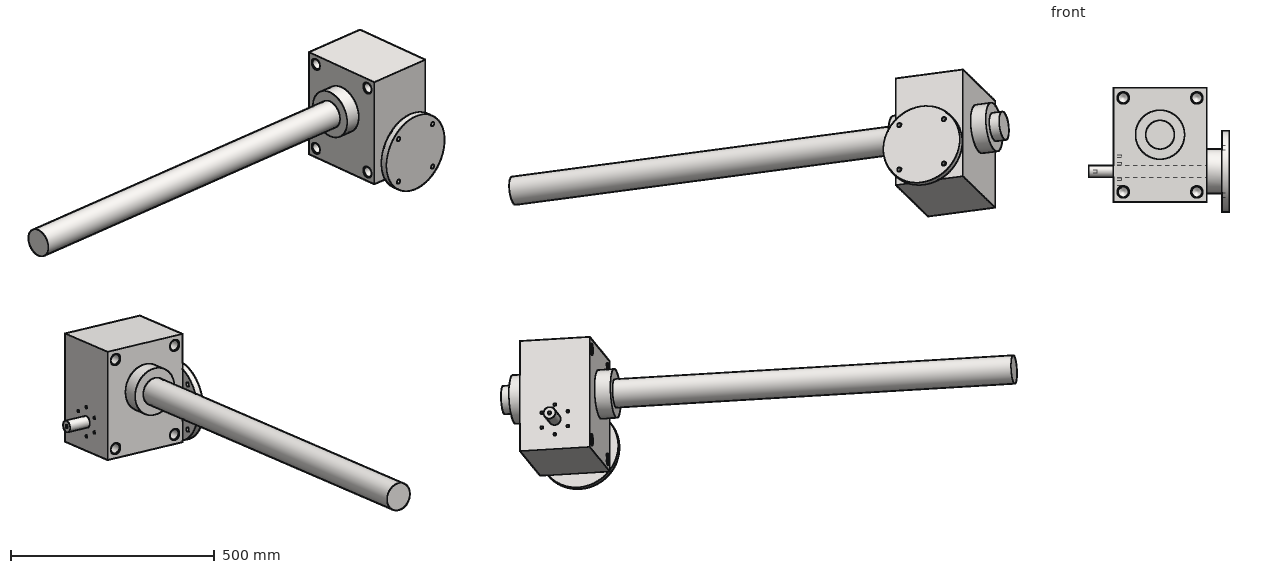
import cadquery as cq
import math


HOUSING_WIDTH = 229.0
HOUSING_DEPTH = 175.0
HOUSING_HEIGHT = 280.0
SPINDLE_BELOW_TOP = 115.0
HOUSING_TOP = SPINDLE_BELOW_TOP
HOUSING_BOTTOM = HOUSING_TOP - HOUSING_HEIGHT
HOUSING_LEFT = -HOUSING_WIDTH / 2
HOUSING_RIGHT = HOUSING_WIDTH / 2
HOUSING_FRONT = -HOUSING_DEPTH / 2

BOSS_DIAMETER = 120.0
BOSS_LENGTH = 40.0

MOUNT_HOLE_DIAMETER = 25.0
MOUNT_MOUTH_DIAMETER = 30.0
MOUNT_CHAMFER = (MOUNT_MOUTH_DIAMETER - MOUNT_HOLE_DIAMETER) / 2
MOUNT_HOLE_DEPTH = 45.0
MOUNT_HOLE_SPACING_X = 180.0
MOUNT_HOLE_SPACING_Z = 230.0
DRILL_POINT_ANGLE = 118

SPINDLE_DIAMETER = 70.0
SPINDLE_LENGTH = 1281.0
SPINDLE_BACK_STICKOUT = 25.0
SPINDLE_BACK = HOUSING_DEPTH / 2 + BOSS_LENGTH + SPINDLE_BACK_STICKOUT

FLANGE_DIAMETER = 200.0
FLANGE_THICKNESS = 18.0
FLANGE_NECK_DIAMETER = 110.0
FLANGE_NECK_LENGTH = 37.0
FLANGE_DROP = 24.0
FLANGE_HOLE_DIAMETER = 11.0
FLANGE_HOLE_CIRCLE = 165.0
FLANGE_HOLE_COUNT = 4
FLANGE_HOLE_START = 45

DRIVE_AXIS_Z = HOUSING_BOTTOM - FLANGE_DROP + FLANGE_DIAMETER / 2
SHAFT_DIAMETER = 30.0
SHAFT_STICKOUT = 60.0
SHAFT_LENGTH = SHAFT_STICKOUT + HOUSING_WIDTH
SHAFT_LEFT = HOUSING_LEFT - SHAFT_STICKOUT
CENTRE_HOLE_DIAMETER = 8.3
CENTRE_HOLE_DEPTH = 19.0

RING_HOLE_DIAMETER = 6.7
RING_HOLE_CIRCLE = 75.0
RING_HOLE_COUNT = 6
RING_HOLE_START = 90
RING_HOLE_DEPTH = 19.0


def rod_along_x(x_start, length, diameter):
    """Solid round rod on the drive axis that runs in +X from x_start."""
    return cq.Workplane("YZ", origin=(x_start, 0, DRIVE_AXIS_Z)).circle(diameter / 2).extrude(length)


def rod_along_y(y_start, length, diameter):
    """Solid round rod on the spindle axis that runs in +Y from y_start."""
    return cq.Workplane("XZ", origin=(0, y_start, 0)).circle(diameter / 2).extrude(-length)


def holes_around_drive_axis(x_start, depth, diameter, circle, count, start_angle):
    """Cutters for a ring of holes around the drive axis, running in +X from x_start."""
    return (
        cq.Workplane("YZ", origin=(x_start, 0, DRIVE_AXIS_Z))
        .polarArray(circle / 2, start_angle, 360, count)
        .circle(diameter / 2)
        .extrude(depth)
    )


def mount_hole(x, z):
    """Cutter for one blind hole with a chamfered mouth and a conical drill point."""
    radius = MOUNT_HOLE_DIAMETER / 2
    point_length = radius / math.tan(math.radians(DRILL_POINT_ANGLE / 2))
    half_profile = [
        (0, 0),
        (MOUNT_MOUTH_DIAMETER / 2, 0),
        (radius, MOUNT_CHAMFER),
        (radius, MOUNT_HOLE_DEPTH),
        (0, MOUNT_HOLE_DEPTH + point_length),
    ]
    return (
        cq.Workplane("XY")
        .polyline(half_profile)
        .close()
        .revolve(360, (0, 0, 0), (0, 1, 0))
        .translate((x, HOUSING_FRONT, z))
    )


def make_housing():
    """Block with two bosses, bored for the spindle and the drive shaft."""
    block = cq.Workplane("XY", origin=(0, 0, HOUSING_BOTTOM)).box(
        HOUSING_WIDTH, HOUSING_DEPTH, HOUSING_HEIGHT, centered=(True, True, False)
    )
    bosses_length = HOUSING_DEPTH + 2 * BOSS_LENGTH
    body = block.union(rod_along_y(-bosses_length / 2, bosses_length, BOSS_DIAMETER))
    body = body.cut(make_spindle()).cut(rod_along_x(SHAFT_LEFT, SHAFT_LENGTH, SHAFT_DIAMETER))

    middle_z = (HOUSING_TOP + HOUSING_BOTTOM) / 2
    for x in (-MOUNT_HOLE_SPACING_X / 2, MOUNT_HOLE_SPACING_X / 2):
        for z in (middle_z - MOUNT_HOLE_SPACING_Z / 2, middle_z + MOUNT_HOLE_SPACING_Z / 2):
            body = body.cut(mount_hole(x, z))

    ring_holes = holes_around_drive_axis(
        HOUSING_LEFT, RING_HOLE_DEPTH, RING_HOLE_DIAMETER, RING_HOLE_CIRCLE, RING_HOLE_COUNT, RING_HOLE_START
    )
    return body.cut(ring_holes)


def make_spindle():
    """Long plain rod through the housing and both bosses."""
    return rod_along_y(SPINDLE_BACK - SPINDLE_LENGTH, SPINDLE_LENGTH, SPINDLE_DIAMETER)


def make_drive_shaft():
    """Shaft across the housing, with a blind centre hole in its free end."""
    shaft = rod_along_x(SHAFT_LEFT, SHAFT_LENGTH, SHAFT_DIAMETER)
    return shaft.cut(rod_along_x(SHAFT_LEFT, CENTRE_HOLE_DEPTH, CENTRE_HOLE_DIAMETER))


def make_motor_flange():
    """Round neck and disc on the right side of the housing, with bolt holes through the disc."""
    disc_left = HOUSING_RIGHT + FLANGE_NECK_LENGTH
    neck = rod_along_x(HOUSING_RIGHT, FLANGE_NECK_LENGTH, FLANGE_NECK_DIAMETER)
    disc = rod_along_x(disc_left, FLANGE_THICKNESS, FLANGE_DIAMETER)
    bolt_holes = holes_around_drive_axis(
        disc_left,
        FLANGE_THICKNESS,
        FLANGE_HOLE_DIAMETER,
        FLANGE_HOLE_CIRCLE,
        FLANGE_HOLE_COUNT,
        FLANGE_HOLE_START,
    )
    return neck.union(disc).cut(bolt_holes)


housing = make_housing()
spindle = make_spindle()
drive_shaft = make_drive_shaft()
motor_flange = make_motor_flange()

result = cq.Compound.makeCompound(
    [housing.val(), spindle.val(), drive_shaft.val(), motor_flange.val()]
)